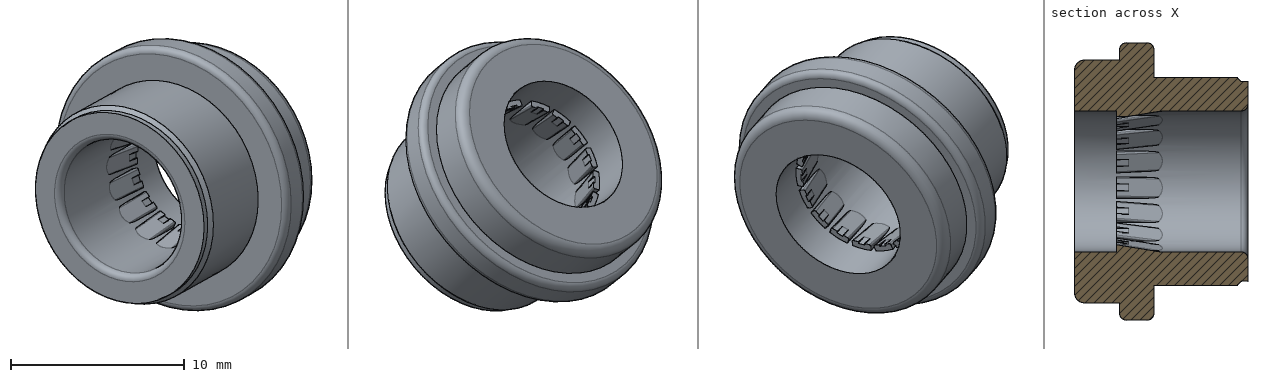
import cadquery as cq

total_length = 10.0
front_y = -total_length / 2
rear_y = total_length / 2

flange_radius = 8.0
flange_width = 2.0
flange_fillet = 0.4

body_radius = 7.0
body_length = 2.6
body_fillet = 0.6

sleeve_radius = 6.0
nose_radius = 5.76
nose_length = 0.38
nose_chamfer = sleeve_radius - nose_radius

bore_radius = 4.05
bore_fillet = 0.4

tooth_count = 16
wide_pitch_angle = 29.0
tooth_pitch_angle = (360 - wide_pitch_angle) / (tooth_count - 1)
tooth_width = 1.22
tooth_start_y = -0.06
tooth_length = 2.64
tooth_tip_radius = 3.62
tooth_edge_fillet = 0.1
tooth_root_overlap = 0.16
tooth_groove_width = 0.4
tooth_groove_depth = 0.11


def make_turned_body():
    """Revolve the stepped outside shape and round its outer rims."""
    flange_rear_y = rear_y - body_length
    flange_front_y = flange_rear_y - flange_width
    nose_y = front_y + nose_length
    profile = (
        cq.Workplane("XY")
        .moveTo(0, front_y)
        .lineTo(nose_radius, front_y)
        .lineTo(nose_radius, nose_y)
        .lineTo(sleeve_radius, nose_y + nose_chamfer)
        .lineTo(sleeve_radius, flange_front_y)
        .lineTo(flange_radius, flange_front_y)
        .lineTo(flange_radius, flange_rear_y)
        .lineTo(body_radius, flange_rear_y)
        .lineTo(body_radius, rear_y)
        .lineTo(0, rear_y)
        .close()
    )
    body = profile.revolve(360, (0, 0, 0), (0, 1, 0))
    flange_rims = cq.selectors.RadiusNthSelector(-1)
    body = body.edges(flange_rims).fillet(flange_fillet)
    return body.faces(">Y").edges().fillet(body_fillet)


def cut_bore(body):
    """Bore the body from end to end and round the front mouth."""
    bore = (
        cq.Workplane("XZ", origin=(0, rear_y, 0))
        .circle(bore_radius)
        .extrude(total_length)
    )
    front_mouth = cq.selectors.RadiusNthSelector(0)
    return body.cut(bore).faces("<Y").edges(front_mouth).fillet(bore_fillet)


def make_tooth():
    """Make the tooth at the top of the bore: a ramp that rises toward the axis as it runs to the rear."""
    tip_y = tooth_start_y + tooth_length
    root_radius = bore_radius + tooth_root_overlap
    ramp = (
        cq.Workplane("YZ")
        .moveTo(tooth_start_y, root_radius)
        .lineTo(tooth_start_y, bore_radius)
        .lineTo(tip_y, tooth_tip_radius)
        .lineTo(tip_y, root_radius)
        .close()
        .extrude(tooth_width / 2, both=True)
    )
    ramp = ramp.faces("<Z").edges("not |X").fillet(tooth_edge_fillet)
    groove = (
        cq.Workplane("XY", origin=(0, tooth_start_y, tooth_tip_radius))
        .rect(tooth_groove_width, 2 * tooth_length)
        .extrude(tooth_groove_depth)
    )
    return ramp.cut(groove)


def add_teeth(body):
    """Repeat the tooth round the bore, starting at the top and going toward -X."""
    tooth = make_tooth()
    for index in range(tooth_count):
        angle = -index * tooth_pitch_angle
        body = body.union(tooth.rotate((0, 0, 0), (0, 1, 0), angle))
    return body


result = add_teeth(cut_bore(make_turned_body()))